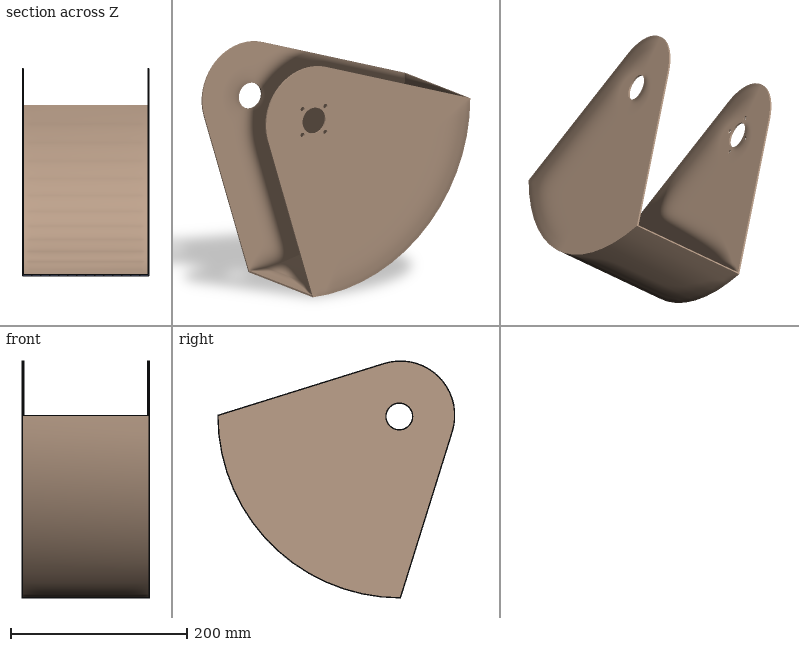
import cadquery as cq
import math

width = 144.0
wall = 2.0
sector_radius = 207.0
lobe_radius = 61.65

shaft_diameter = 30.0
shaft_offset = 1.3
mount_diameter = 5.0
mount_spacing = 30.0

left_face = -width / 2


def point_at(radius, angle):
    """Point (y, z) at an angle in degrees measured from +Y towards +Z."""
    return radius * math.cos(math.radians(angle)), radius * math.sin(math.radians(angle))


def plate_outline():
    """Closed profile: sector arc, lobe and the two straight edges tangent to the lobe."""
    tangent_angle = math.degrees(math.acos(lobe_radius / sector_radius))
    upper_tangent = point_at(lobe_radius, 180 - tangent_angle)
    lower_tangent = point_at(lobe_radius, tangent_angle - 90)
    return (
        cq.Workplane("YZ", origin=(left_face, 0, 0))
        .moveTo(*point_at(sector_radius, 180))
        .threePointArc(point_at(sector_radius, 225), point_at(sector_radius, 270))
        .lineTo(*lower_tangent)
        .threePointArc(point_at(lobe_radius, 45), upper_tangent)
        .close()
    )


def curved_floor():
    """Quarter-cylinder shell that joins the two side plates."""
    inner_radius = sector_radius - wall
    return (
        cq.Workplane("YZ", origin=(left_face, 0, 0))
        .moveTo(*point_at(sector_radius, 180))
        .threePointArc(point_at(sector_radius, 225), point_at(sector_radius, 270))
        .lineTo(*point_at(inner_radius, 270))
        .threePointArc(point_at(inner_radius, 225), point_at(inner_radius, 180))
        .close()
        .extrude(width)
    )


def shaft_plane():
    """Sketch plane on the -X face, centred on the shaft axis."""
    return cq.Workplane("YZ", origin=(left_face, -shaft_offset, -shaft_offset))


left_plate = plate_outline().extrude(wall)
right_plate = left_plate.translate((width - wall, 0, 0))
shaft_opening = shaft_plane().circle(shaft_diameter / 2).extrude(width)
mount_holes = (
    shaft_plane()
    .rect(mount_spacing, mount_spacing, forConstruction=True)
    .vertices()
    .circle(mount_diameter / 2)
    .extrude(wall)
)

result = (
    curved_floor()
    .union(left_plate)
    .union(right_plate)
    .cut(shaft_opening)
    .cut(mount_holes)
)